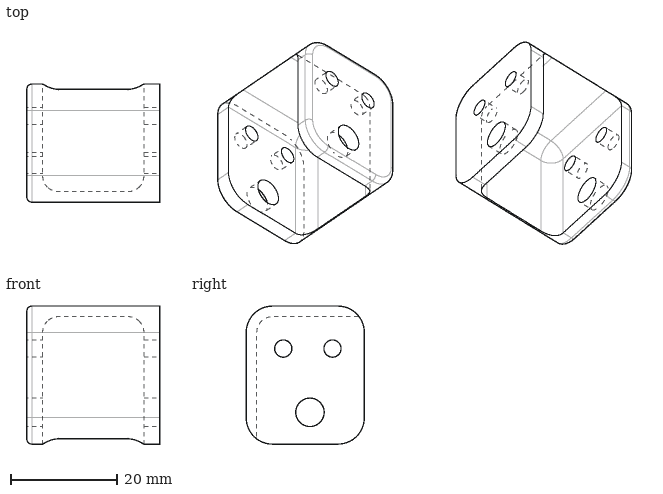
import cadquery as cq

length = 25.0
width = 22.25
height = 26.0
corner_radius = 5.0
end_fillet = 1.0

side_wall = 2.0
end_wall = 3.0
cavity_fillet = 3.0
overshoot = 2 * cavity_fillet

small_diameter = 3.2
small_hole_centres = [(5.12, 5.0), (-4.13, 5.0)]
large_diameter = 5.3
large_hole_centre = (0.88, -7.0)


def make_block():
    block = cq.Workplane("XY").box(length, width, height)
    block = block.edges("|X").fillet(corner_radius)
    return block.faces("<X").edges().fillet(end_fillet)


def make_cavity():
    cavity_length = length - 2 * end_wall
    cavity_width = width - side_wall + overshoot
    cavity_height = height - side_wall + overshoot
    cavity = cq.Workplane("XY").box(cavity_length, cavity_width, cavity_height)
    cavity = cavity.edges().fillet(cavity_fillet)
    offset = (side_wall + overshoot) / 2
    return cavity.translate((0, offset, -offset))


def make_holes(centres, diameter):
    section = cq.Workplane("YZ", origin=(-length / 2, 0, 0))
    return section.pushPoints(centres).circle(diameter / 2).extrude(length)


result = (
    make_block()
    .cut(make_cavity())
    .cut(make_holes(small_hole_centres, small_diameter))
    .cut(make_holes([large_hole_centre], large_diameter))
)